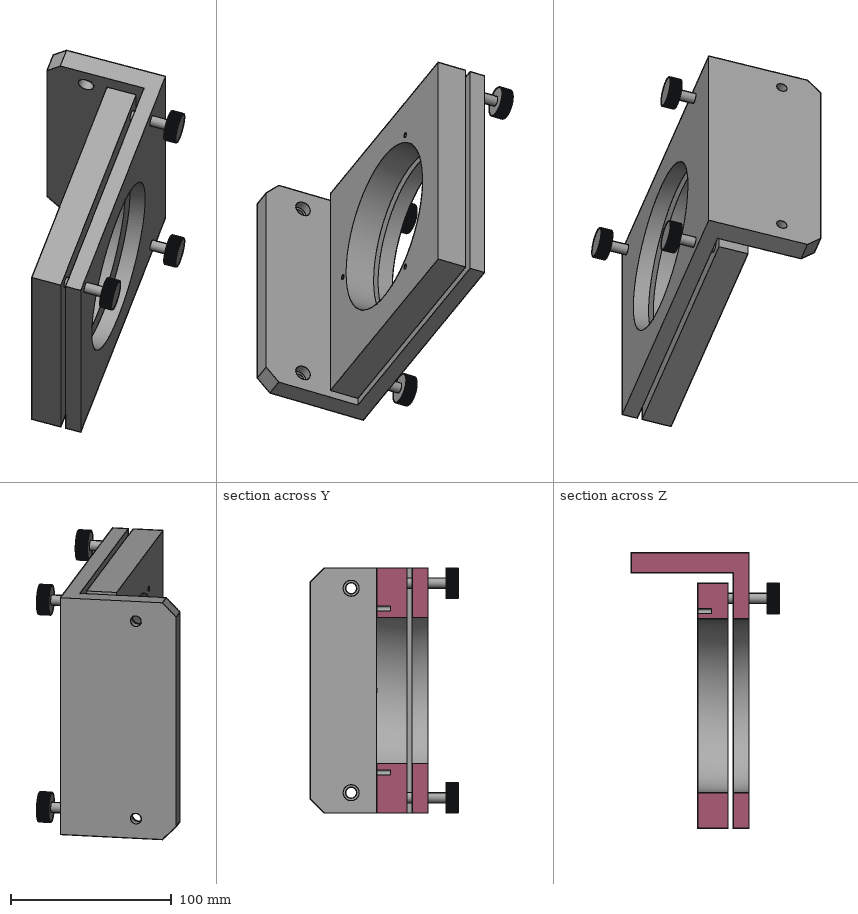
import cadquery as cq
import math


side = 152.5
length = 171.5
block_front = 41.3
block_thickness = 19.0
gap = 3.1
plate_thickness = 10.0
block_back = block_front + block_thickness
plate_front = block_back + gap
plate_back = plate_front + plate_thickness
bore_diameter = 108.0

flange_thickness = 12.7
corner_chamfer = 8.7
mount_hole_diameter = 6.7
counterbore_diameter = 10.0
counterbore_depth = 6.3
mount_hole_x = 25.5
mount_hole_inset = 12.7

retainer_count = 3
retainer_circle_radius = 58.8
retainer_diameter = 2.7
retainer_bevel = 0.25
retainer_depth = 8.5

screw_diameter = 6.5
screw_inset = 9.52
knob_diameter = 2 * screw_inset
knob_thickness = 7.9
knob_edge_chamfer = 0.3
knurl_count = 90
knurl_depth = 0.3
knob_x = 84.4
raised_knob_x = 85.5


def x_cylinder(diameter, x_start, x_end, y, z):
    """Cylinder along X, centred on (y, z)."""
    plane = cq.Workplane("YZ", origin=(x_start, y, z))
    return plane.circle(diameter / 2).extrude(x_end - x_start)


def make_bracket():
    """L-shaped bracket: a plate along Y and a flange along X at the +Y end."""
    plate = cq.Workplane("XY").box(plate_thickness, length, side, centered=False)
    plate = plate.translate((plate_front, 0, 0))
    flange = cq.Workplane("XY").box(plate_back, flange_thickness, side, centered=False)
    flange = flange.edges("<X and |Y").chamfer(corner_chamfer)
    flange = flange.translate((0, length - flange_thickness, 0))
    return plate.union(flange)


def cut_mount_holes(bracket):
    """Two counterbored holes through the flange, opening on its inner face."""
    for z in (mount_hole_inset, side - mount_hole_inset):
        inner_face = cq.Workplane("XZ", origin=(mount_hole_x, length - flange_thickness, z))
        through = inner_face.circle(mount_hole_diameter / 2).extrude(-flange_thickness)
        counterbore = inner_face.circle(counterbore_diameter / 2).extrude(-counterbore_depth)
        bracket = bracket.cut(through).cut(counterbore)
    return bracket


def make_block():
    """Lens block with blind retainer holes in its front face."""
    block = cq.Workplane("XY").box(block_thickness, side, side, centered=False)
    block = block.translate((block_front, 0, 0))
    for index in range(retainer_count):
        angle = index * 2 * math.pi / retainer_count
        y = side / 2 + retainer_circle_radius * math.cos(angle)
        z = side / 2 + retainer_circle_radius * math.sin(angle)
        hole = x_cylinder(retainer_diameter, block_front, block_front + retainer_depth, y, z)
        mouth = cq.Workplane("YZ", origin=(block_front, y, z))
        mouth = mouth.circle(retainer_diameter / 2 + retainer_bevel)
        mouth = mouth.extrude(retainer_bevel, taper=45)
        block = block.cut(hole).cut(mouth)
    return block


def knurl_outline():
    """Points of a toothed ring, alternating between tooth tips and groove bottoms."""
    tip_radius = knob_diameter / 2
    points = []
    for step in range(2 * knurl_count):
        angle = step * math.pi / knurl_count
        radius = tip_radius - knurl_depth * (step % 2)
        points.append((radius * math.cos(angle), radius * math.sin(angle)))
    return points


def make_knob(y, z, head_x):
    """Straight-knurled knob with its tooth ends bevelled on both faces."""
    envelope = x_cylinder(knob_diameter, head_x, head_x + knob_thickness, y, z)
    envelope = envelope.faces("<X or >X").edges().chamfer(knob_edge_chamfer)
    knurled = cq.Workplane("YZ", origin=(head_x, y, z)).polyline(knurl_outline()).close()
    return knurled.extrude(knob_thickness).intersect(envelope)


def make_screw(y, z, head_x):
    """Adjusting screw from the back of the block through the plate to its knob."""
    shank = x_cylinder(screw_diameter, block_back, head_x, y, z)
    return shank.union(make_knob(y, z, head_x))


low = screw_inset
high = side - screw_inset
screws = [(high, high, knob_x), (high, low, knob_x), (low, high, raised_knob_x)]

result = cut_mount_holes(make_bracket()).union(make_block())
result = result.cut(x_cylinder(bore_diameter, block_front, plate_back, side / 2, side / 2))
for y, z, head_x in screws:
    result = result.union(make_screw(y, z, head_x))